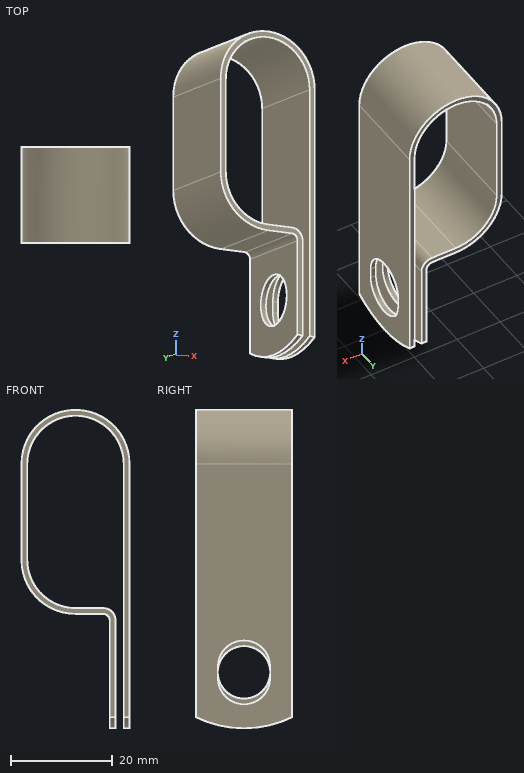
import cadquery as cq
import math

width = 19.05
thickness = 1.2
loop_radius = 10.7
height = 63.1

lower_center_z = 33.4
tab_gap = 1.6
bend_inner_radius = 1.25
hole_diameter = 10.35
hole_z = 11.1
slot_length = 12.6
end_rise = 2.2

upper_center_z = height - loop_radius
inner_radius = loop_radius - thickness
bend_outer_radius = bend_inner_radius + thickness
tab_outer_x = inner_radius - tab_gap
tab_inner_x = tab_outer_x - thickness
bend_x = tab_outer_x - bend_outer_radius
floor_bottom_z = lower_center_z - loop_radius
floor_top_z = floor_bottom_z + thickness
bend_z = floor_top_z - bend_outer_radius
half_sqrt = math.sqrt(0.5)


def bend_middle(center_x, center_z, radius, x_sign, z_sign):
    """Middle point of a quarter bend, in the quadrant given by the signs."""
    return (center_x + x_sign * radius * half_sqrt, center_z + z_sign * radius * half_sqrt)


def bent_strip():
    """Constant-thickness strip: long leg, loop, floor and short tab."""
    return (
        cq.Workplane("XZ")
        .moveTo(loop_radius, 0)
        .lineTo(loop_radius, upper_center_z)
        .threePointArc((0, height), (-loop_radius, upper_center_z))
        .lineTo(-loop_radius, lower_center_z)
        .threePointArc(bend_middle(0, lower_center_z, loop_radius, -1, -1), (0, floor_bottom_z))
        .lineTo(bend_x, floor_bottom_z)
        .threePointArc(bend_middle(bend_x, bend_z, bend_inner_radius, 1, 1), (tab_inner_x, bend_z))
        .lineTo(tab_inner_x, 0)
        .lineTo(tab_outer_x, 0)
        .lineTo(tab_outer_x, bend_z)
        .threePointArc(bend_middle(bend_x, bend_z, bend_outer_radius, 1, 1), (bend_x, floor_top_z))
        .lineTo(0, floor_top_z)
        .threePointArc(
            bend_middle(0, lower_center_z, inner_radius, -1, -1),
            (-inner_radius, lower_center_z),
        )
        .lineTo(-inner_radius, upper_center_z)
        .threePointArc((0, upper_center_z + inner_radius), (inner_radius, upper_center_z))
        .lineTo(inner_radius, 0)
        .close()
        .extrude(width / 2, both=True)
    )


def side_envelope():
    """Block with the side outline of the clip: straight sides and an arched bottom."""
    return (
        cq.Workplane("YZ")
        .moveTo(-width / 2, height)
        .lineTo(-width / 2, end_rise)
        .threePointArc((0, 0), (width / 2, end_rise))
        .lineTo(width / 2, height)
        .close()
        .extrude(loop_radius, both=True)
    )


def short_tab_hole():
    """Cutter for the round screw hole in the short tab."""
    return (
        cq.Workplane("YZ", origin=(tab_inner_x, 0, hole_z))
        .circle(hole_diameter / 2)
        .extrude(thickness)
    )


def long_leg_slot():
    """Cutter for the vertical screw slot in the long leg."""
    return (
        cq.Workplane("YZ", origin=(inner_radius, 0, hole_z))
        .slot2D(slot_length, hole_diameter, 90)
        .extrude(thickness)
    )


blank = bent_strip().intersect(side_envelope())
result = blank.cut(short_tab_hole()).cut(long_leg_slot())